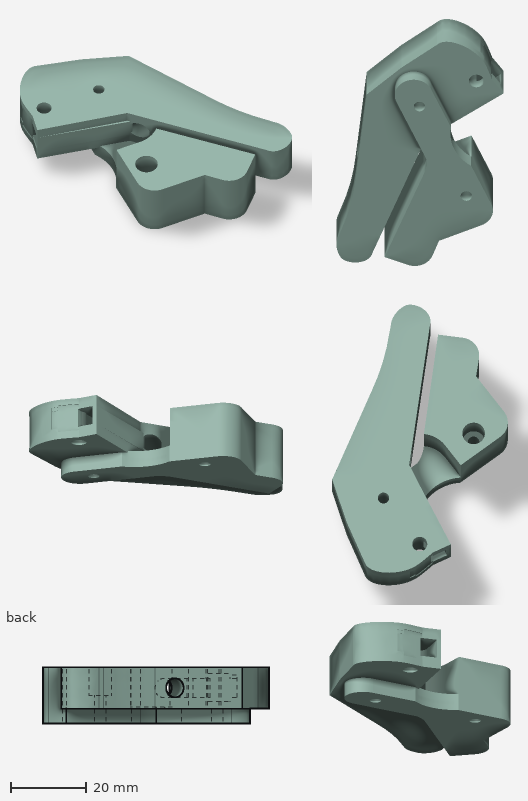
import cadquery as cq
import math

total_height = 15.0
lever_bottom = 4.0
plate_top = 4.5
cable_diameter = 5.0
middle_bottom = 7.0
middle_top = middle_bottom + cable_diameter
middle_height = (middle_bottom + middle_top) / 2

half_width = 5.0
plate_end_x = -9.9
plate_hole_x = -1.0
small_hole_diameter = 3
block_inner_x = 21.9
block_right_x = 40.1
block_shoulder_y = 12.35
block_peak = (39.0, 27.7)
block_nose = (47.4, 19.45)
corner_radius = 5.0
wall_start = (19.3, 7.8)
throat_bend = (17.3, 6.1)
wall_bend = (21.2, 5.2)
wall_straight_y = 1.2
throat_x = 15.1
throat_half_length = 6.65
throat_depth = 2.0
screw_x = 30.0
counterbore_diameter = 6.0
counterbore_depth = total_height / 2

pin_diameter = 4.0
pin_y = -16.05
heel = (6.55, -21.1)
rear_corner = (-7.75, 12.35)
finger_inner_end_x = 38.9
finger_edge_offset = 7.75
finger_back_top = (29.1, 36.05)
finger_back_bend = (23.2, 30.8)
finger_back_bottom = (15.45, 25.75)
rear_bend = (-11.9, 0.5)
finger_tip = [(40.3, 33.3), (40.2, 35.5), (38.9, 38.1), (37.25, 39.3), (35.35, 39.5), (32.7, 38.9), (30.4, 37.2)]
heel_curve_start = (-14.7, -11.1)
heel_curve = [(-14.9, -12.7), (-13.1, -16.0), (-9.25, -18.85), (-4.8, -20.3), (-1.7, -20.3), (1.4, -20.05)]
upper_corner_x = 10.95
middle_corner_x = 11.6
lower_corner_x = 11.45
cable_exit = (10.1, 22.65)
cable_tilt = 10.6

heel_tilt = 78.8
pocket_width = 4.6
pocket_depth = 10.0
pocket_mouth = (3.15, -20.45)
recess_left_x = -6.3
recess_step_x = -4.5
recess_right_x = heel_curve[-1][0]
recess_depth = 0.25
recess_corner_depth = 0.1
recess_bottom = 6.0
recess_top = 13.4
recess_narrow_top = 13.0


def base_outline():
    """Plan outline of plate and block together."""
    throat_right = throat_x + throat_half_length
    return (
        cq.Workplane("XY")
        .moveTo(plate_end_x + half_width, half_width)
        .lineTo(throat_x, half_width)
        .threePointArc(throat_bend, wall_start)
        .lineTo(*block_peak)
        .lineTo(*block_nose)
        .lineTo(block_right_x, block_shoulder_y)
        .lineTo(block_right_x, -half_width)
        .lineTo(throat_right, -half_width)
        .threePointArc((throat_x, throat_depth - half_width), (throat_x - throat_half_length, -half_width))
        .lineTo(plate_end_x + half_width, -half_width)
        .threePointArc((plate_end_x, 0), (plate_end_x + half_width, half_width))
        .close()
    )


def make_base():
    body = base_outline().extrude(total_height)
    for x, y in (block_nose, (block_right_x, -half_width)):
        edge = cq.selectors.BoxSelector((x - 0.6, y - 0.6, 0), (x + 0.6, y + 0.6, total_height))
        body = body.edges(edge).fillet(corner_radius)

    clear_of_body = plate_end_x - 0.6
    above_plate = (
        cq.Workplane("XY", origin=(0, 0, plate_top))
        .moveTo(clear_of_body, wall_start[1])
        .lineTo(*wall_start)
        .threePointArc(wall_bend, (block_inner_x, wall_straight_y))
        .lineTo(block_inner_x, -half_width)
        .lineTo(clear_of_body, -half_width)
        .close()
        .extrude(total_height)
    )
    body = body.cut(above_plate)

    seat = lever_blank(lower_corner_x, lever_bottom, plate_top)
    body = body.cut(seat)

    plate_hole = cq.Workplane("XY").center(plate_hole_x, 0).circle(small_hole_diameter / 2).extrude(plate_top)
    screw_hole = cq.Workplane("XY").center(screw_x, 0).circle(small_hole_diameter / 2).extrude(total_height)
    counterbore = (
        cq.Workplane("XY", origin=(screw_x, 0, total_height - counterbore_depth))
        .circle(counterbore_diameter / 2)
        .extrude(counterbore_depth)
    )
    return body.cut(plate_hole).cut(screw_hole).cut(counterbore)


def lever_blank(corner_x, bottom, top):
    """Lever outline with the given right-hand corner, between two heights."""
    return (
        cq.Workplane("XY", origin=(0, 0, bottom))
        .moveTo(*heel)
        .lineTo(corner_x, corner_x - finger_edge_offset)
        .lineTo(finger_inner_end_x, finger_inner_end_x - finger_edge_offset)
        .spline(finger_tip, includeCurrent=True)
        .lineTo(*finger_back_top)
        .threePointArc(finger_back_bend, finger_back_bottom)
        .lineTo(*rear_corner)
        .lineTo(*rear_bend)
        .lineTo(*heel_curve_start)
        .spline(heel_curve, includeCurrent=True)
        .close()
        .extrude(top - bottom)
    )


def side_wedge(corner_x, bottom, top):
    """Thin wedge that moves the right-hand corner of one layer outwards."""
    return (
        cq.Workplane("XY", origin=(0, 0, bottom))
        .moveTo(*heel)
        .lineTo(corner_x, corner_x - finger_edge_offset)
        .lineTo(upper_corner_x, upper_corner_x - finger_edge_offset)
        .close()
        .extrude(top - bottom)
    )


def cable_bore():
    angle = math.radians(cable_tilt)
    direction = cq.Vector(-math.sin(angle), math.cos(angle), 0)
    reach = 30.3
    centre = cq.Vector(*cable_exit, middle_height)
    bore = cq.Workplane(
        cq.Solid.makeCylinder(cable_diameter / 2, 2 * reach, centre - direction * reach, direction)
    )
    corner_y = middle_corner_x - finger_edge_offset
    mouth_margin = 0.6
    guard = cq.Workplane("XY").box(reach, reach, total_height, centered=False)
    beside_corner = guard.translate((middle_corner_x - reach, corner_y + mouth_margin - reach, 0))
    below_corner = guard.translate((middle_corner_x, corner_y - reach, 0))
    return bore.cut(beside_corner).cut(below_corner)


def nipple_pocket():
    """Round-ended pocket entering square to the heel face."""
    straight = pocket_depth - pocket_width / 2
    return (
        cq.Workplane("XY")
        .slot2D(2 * straight + pocket_width, pocket_width)
        .extrude(cable_diameter)
        .rotate((0, 0, 0), (0, 0, 1), heel_tilt)
        .translate((*pocket_mouth, middle_bottom))
    )


def recess_block(left, right, bottom, top):
    """Block covering one patch of the curved end of the lever."""
    reach = 4.85
    block = cq.Workplane("XY").box(right - left, reach, top - bottom, centered=False)
    return block.translate((left, heel[1] - 0.6, bottom))


def heel_recess():
    """Tall recess with a narrower extension, and a shallower corner above that."""
    lever_shape = lever_blank(upper_corner_x, lever_bottom, total_height)
    tall = recess_block(recess_step_x, recess_right_x, recess_bottom, recess_top)
    narrow = recess_block(recess_left_x, recess_step_x, middle_bottom, middle_top)
    corner = recess_block(recess_left_x, recess_step_x, middle_top, recess_narrow_top)
    deep = tall.union(narrow).cut(lever_shape.translate((0, recess_depth, 0)))
    shallow = corner.cut(lever_shape.translate((0, recess_corner_depth, 0)))
    return deep.union(shallow)


def make_lever():
    body = (
        lever_blank(upper_corner_x, lever_bottom, total_height)
        .union(side_wedge(lower_corner_x, lever_bottom, middle_bottom))
        .union(side_wedge(middle_corner_x, middle_bottom, middle_top))
    )
    pivot_hole = cq.Workplane("XY").circle(small_hole_diameter / 2).extrude(total_height)
    pin_hole = cq.Workplane("XY").center(0, pin_y).circle(pin_diameter / 2).extrude(total_height)
    body = body.cut(pivot_hole).cut(pin_hole)
    return body.cut(cable_bore()).cut(nipple_pocket()).cut(heel_recess())


base = make_base()
lever = make_lever()

result = cq.Compound.makeCompound([base.solids().val(), lever.solids().val()])